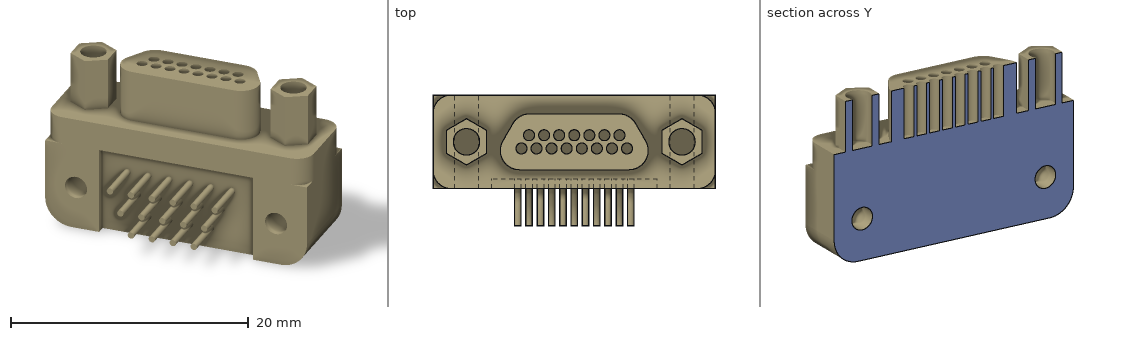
import cadquery as cq
import math


length = 23.75
depth = 7.88
body_height = 10.2
total_height = 14.77
bottom_radius = 2.38
front_y = -depth / 2

flange_thickness = 2.47
flange_radius = 1.52
flange_bottom = body_height - flange_thickness

mating_height = total_height - body_height
fastener_spacing = 18.15
hex_flats = 3.37
hex_half_side = 180 / 6
jackscrew_bore = 2.23

shell_depth = 4.7
shell_half_base = 7.4
shell_slant = 30.0
shell_radius = 1.62

socket_diameter = 0.93
socket_row_length = 8.88
socket_row_gap = 1.12
socket_rows = [7, 8]
socket_pitch = socket_row_length / (max(socket_rows) - 1)

pin_diameter = 0.57
pin_pitch = 1.9
pin_projection = 3.14
pin_rows = [6, 5, 4]
recess_width = 13.96
recess_depth = 0.8

mount_diameter = 2.0
mount_z = 3.8

fastener_points = [(-fastener_spacing / 2, 0), (fastener_spacing / 2, 0)]


def staggered_points(row_counts, pitch, row_gap):
    """Rows listed from top to bottom, all centred on the same axis."""
    top = row_gap * (len(row_counts) - 1) / 2
    points = []
    for row, count in enumerate(row_counts):
        for index in range(count):
            points.append(((index - (count - 1) / 2) * pitch, top - row * row_gap))
    return points


def housing():
    lower = cq.Workplane("XY").box(length, depth, flange_bottom, centered=(True, True, False))
    lower = lower.edges("|Y and <Z").fillet(bottom_radius)
    flange = (
        cq.Workplane("XY")
        .workplane(offset=flange_bottom)
        .box(length, depth, flange_thickness, centered=(True, True, False))
        .edges("|Z")
        .fillet(flange_radius)
    )
    return lower.union(flange)


def pin_recess():
    """Shallow pocket in the front, from the underside up to the flange."""
    pocket = cq.Workplane("XY").box(
        recess_width, recess_depth, flange_bottom, centered=(True, False, False)
    )
    return pocket.translate((0, front_y, 0))


def mounting_holes():
    """Holes right through the housing along Y."""
    return (
        cq.Workplane("XZ", origin=(0, 0, mount_z))
        .pushPoints(fastener_points)
        .circle(mount_diameter / 2)
        .extrude(depth, both=True)
    )


def mating_face():
    return cq.Workplane("XY").workplane(offset=body_height)


def shell():
    """D-shaped shell, narrower toward +Y, with sockets running its full height."""
    half_depth = shell_depth / 2
    half_top = shell_half_base - shell_depth * math.tan(math.radians(shell_slant))
    outline = [
        (-shell_half_base, -half_depth),
        (shell_half_base, -half_depth),
        (half_top, half_depth),
        (-half_top, half_depth),
    ]
    block = mating_face().polyline(outline).close().extrude(mating_height)
    block = block.edges("|Z").fillet(shell_radius)
    sockets = (
        mating_face()
        .pushPoints(staggered_points(socket_rows, socket_pitch, socket_row_gap))
        .circle(socket_diameter / 2)
        .extrude(mating_height)
    )
    return block.cut(sockets)


def jackscrew(x, y):
    """Hexagonal post with two flats facing along X, bored down to the flange."""
    hex_corners = hex_flats / math.cos(math.radians(hex_half_side))
    post = cq.Workplane("XY").polygon(6, hex_corners).extrude(mating_height)
    post = post.rotate((0, 0, 0), (0, 0, 1), hex_half_side)
    bore = cq.Workplane("XY").circle(jackscrew_bore / 2).extrude(mating_height)
    return post.cut(bore).translate((x, y, body_height))


def solder_pins():
    """Straight pins standing on the recess floor."""
    recess_floor = front_y + recess_depth
    return (
        cq.Workplane("XZ", origin=(0, recess_floor, mount_z))
        .pushPoints(staggered_points(pin_rows, pin_pitch, pin_pitch))
        .circle(pin_diameter / 2)
        .extrude(recess_depth + pin_projection)
    )


result = housing().cut(pin_recess()).cut(mounting_holes())
result = result.union(shell()).union(solder_pins())
for x, y in fastener_points:
    result = result.union(jackscrew(x, y))